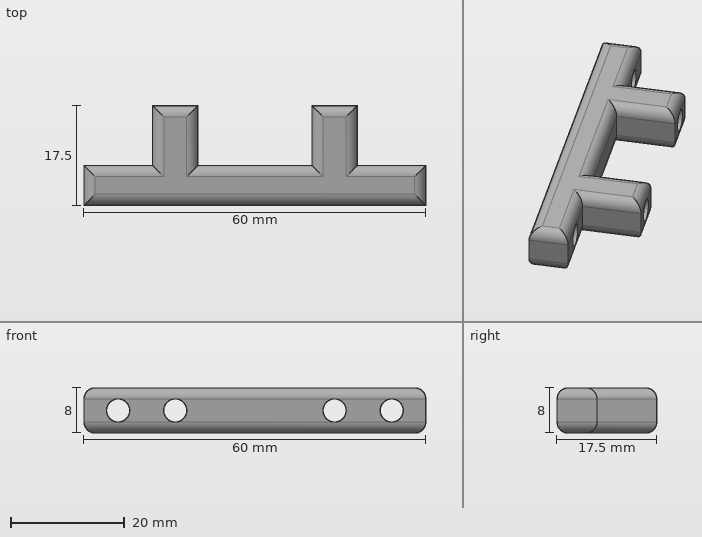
import cadquery as cq

bar_length = 60.0
bar_depth = 7.0
total_depth = 17.5
height = 8.0
leg_width = height
leg_offset = 14.0
edge_radius = 2.0

hole_diameter = 4.0
end_hole_inset = 6.0
end_hole_offset = bar_length / 2 - end_hole_inset
hole_offsets = (leg_offset, end_hole_offset)


def make_body():
    """Bar and legs, with the top and bottom outlines rounded over."""
    body = cq.Workplane("XY").box(bar_length, bar_depth, height, centered=(True, False, True))
    for side in (-1, 1):
        leg = (
            cq.Workplane("XY")
            .center(side * leg_offset, 0)
            .box(leg_width, total_depth, height, centered=(True, False, True))
        )
        body = body.union(leg)
    return body.clean().faces("<Z or >Z").edges().fillet(edge_radius)


def make_holes():
    """Pins that cut the holes through the full depth of the part."""
    hole_places = [(side * offset, 0) for side in (-1, 1) for offset in hole_offsets]
    return (
        cq.Workplane("XZ")
        .pushPoints(hole_places)
        .circle(hole_diameter / 2)
        .extrude(-total_depth)
    )


result = make_body().cut(make_holes())